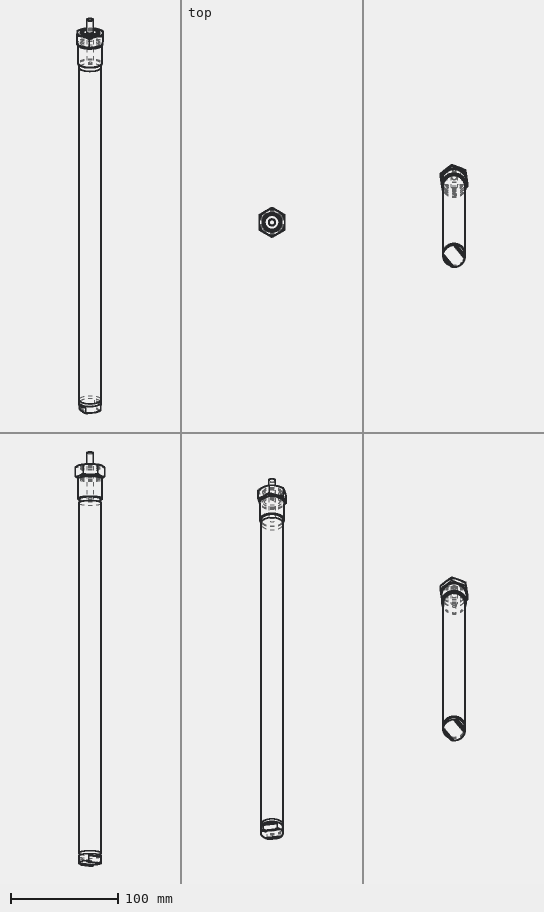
import cadquery as cq
import math

total_length = 393.0

barrel_radius = 10.4
cap_radius = 11.5
cap_bottom = 349.0
cap_top = 367.8
neck_radius = 8.0
neck_top = 380.5
neck_chamfer = 1.0

front_groove_width = 3.5
rear_groove_width = 2.8
groove_depth = 0.6
front_groove_center = 346.5
rear_groove_center = 9.0

flat_distance = 16.0
flat_height = 6.0
slot_width = 13.0
slot_depth = 1.0
rear_chamfer = 1.0

nut_across_flats = 24.0
nut_bottom = 369.5
nut_top = 379.5
nut_corner_drop = 1.0
nut_countersink = 1.0
nut_turn = 30

rod_radius = 3.0
rod_chamfer = 0.5
rod_bottom = cap_bottom


def disc(radius, bottom, top):
    """Solid cylinder on the Z axis between two heights."""
    return cq.Workplane("XY").workplane(offset=bottom).circle(radius).extrude(top - bottom)


def crimp_groove(center, width):
    """Ring that cuts a shallow round-bottomed groove into the barrel."""
    half_width = width / 2
    return (
        cq.Workplane("XZ")
        .moveTo(barrel_radius, center - half_width)
        .threePointArc((barrel_radius - groove_depth, center), (barrel_radius, center + half_width))
        .close()
        .revolve(360, (0, 0, 0), (0, 1, 0))
    )


def rear_flats():
    """Blocks that leave two parallel flats, facing -Y and +Y, at the rear end."""
    block_size = 2 * barrel_radius
    return (
        cq.Workplane("XY")
        .pushPoints([(0, side * (flat_distance + block_size) / 2) for side in (-1, 1)])
        .rect(block_size, block_size)
        .extrude(flat_height)
    )


def rear_slot():
    """Shallow flat-bottomed slot cut along X through the rear end face."""
    return cq.Workplane("XY").rect(2 * barrel_radius, slot_width).extrude(slot_depth)


def make_housing():
    barrel = disc(barrel_radius, 0, cap_bottom).faces("<Z").chamfer(rear_chamfer)
    cap = disc(cap_radius, cap_bottom, cap_top)
    neck = disc(neck_radius, cap_top, neck_top).faces(">Z").chamfer(neck_chamfer)
    body = barrel.union(cap).union(neck)
    body = body.cut(crimp_groove(front_groove_center, front_groove_width))
    body = body.cut(crimp_groove(rear_groove_center, rear_groove_width))
    body = body.cut(rear_flats()).cut(rear_slot())
    return body.cut(disc(rod_radius, rod_bottom, neck_top))


def countersink(face_height, inner_height):
    """Cone that widens the nut bore toward one of the nut faces."""
    return (
        cq.Workplane("XZ")
        .moveTo(0, inner_height)
        .lineTo(neck_radius, inner_height)
        .lineTo(neck_radius + nut_countersink, face_height)
        .lineTo(0, face_height)
        .close()
        .revolve(360, (0, 0, 0), (0, 1, 0))
    )


def make_nut():
    """Hexagon nut with corners on the Y axis, turned conical at both faces."""
    corner_radius = nut_across_flats / math.sqrt(3)
    flat_radius = nut_across_flats / 2
    hexagon = (
        cq.Workplane("XY")
        .workplane(offset=nut_bottom)
        .polygon(6, 2 * corner_radius)
        .extrude(nut_top - nut_bottom)
        .rotate((0, 0, 0), (0, 0, 1), nut_turn)
    )
    turned_blank = (
        disc(corner_radius, nut_bottom, nut_top)
        .faces("<Z or >Z")
        .chamfer(nut_corner_drop, corner_radius - flat_radius)
    )
    bore = disc(neck_radius, nut_bottom, nut_top)
    for face_height, inner_height in (
        (nut_bottom, nut_bottom + nut_countersink),
        (nut_top, nut_top - nut_countersink),
    ):
        bore = bore.union(countersink(face_height, inner_height))
    return hexagon.intersect(turned_blank).cut(bore)


def make_rod():
    return disc(rod_radius, rod_bottom, total_length).faces(">Z").chamfer(rod_chamfer)


housing = make_housing()
nut = make_nut()
rod = make_rod()

result = cq.Compound.makeCompound([housing.val(), nut.val(), rod.val()])